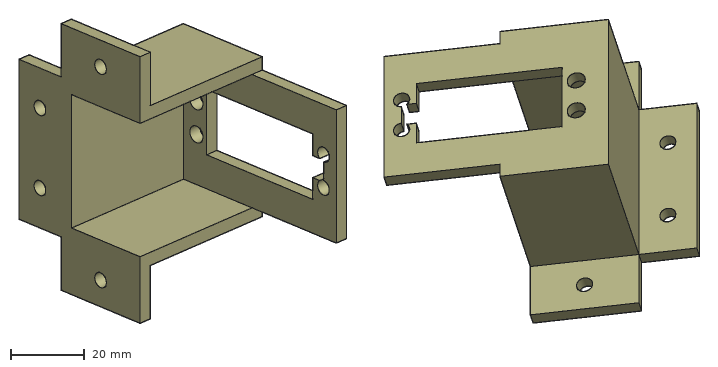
import cadquery as cq

wall = 4.0
depth = 47.4
box_width = 30.0
box_height = 48.0
cavity_height = box_height - 2 * wall

flange_thickness = 4.0
side_tab = 16.0
end_tab = 16.0
flange_height = box_height + 2 * end_tab
mount_hole_diameter = 4.4
side_hole_spacing = 24.0

plate_thickness = 4.0
plate_overhang = 32.0

window_offset = 8.8
window_width = 40.2
window_height = 19.6
notch_length = 4.2
notch_height = 6.6

screw_spacing = 9.9
inner_screw_offset = 4.9
inner_screw_diameter = 5.0
outer_screw_offset = 53.1
outer_screw_diameter = 4.4

box_left = side_tab
box_right = box_left + box_width
cavity_left = box_left + wall
window_left = cavity_left + window_offset
window_right = window_left + window_width


def block(x_min, x_max, y_min, y_max, height):
    """Box between the given X and Y limits, centred on Z = 0."""
    return (
        cq.Workplane("XY")
        .box(x_max - x_min, y_max - y_min, height, centered=(False, False, True))
        .translate((x_min, y_min, 0))
    )


def drills(points, diameter):
    """Cylinders through the full depth along Y at the given (X, Z) points."""
    return cq.Workplane("XZ").pushPoints(points).circle(diameter / 2).extrude(-depth)


def pair(x, spacing):
    """Two (X, Z) points placed symmetrically about Z = 0."""
    return [(x, -spacing / 2), (x, spacing / 2)]


body = block(box_left, box_right, 0, depth, box_height)
body = body.union(block(0, box_right, 0, flange_thickness, box_height))
body = body.union(block(box_left, box_right, 0, flange_thickness, flange_height))
body = body.union(
    block(box_left, box_right + plate_overhang, depth - plate_thickness, depth, cavity_height)
)

body = body.cut(block(cavity_left, box_right, 0, depth - plate_thickness, cavity_height))

body = body.cut(block(window_left, window_right, 0, depth, window_height))
body = body.cut(block(window_right, window_right + notch_length, 0, depth, notch_height))

body = body.cut(drills(pair(side_tab / 2, side_hole_spacing), mount_hole_diameter))
end_hole_x = (box_left + box_right) / 2
body = body.cut(drills(pair(end_hole_x, flange_height - end_tab), mount_hole_diameter))

body = body.cut(drills(pair(cavity_left + inner_screw_offset, screw_spacing), inner_screw_diameter))
body = body.cut(drills(pair(cavity_left + outer_screw_offset, screw_spacing), outer_screw_diameter))

result = body